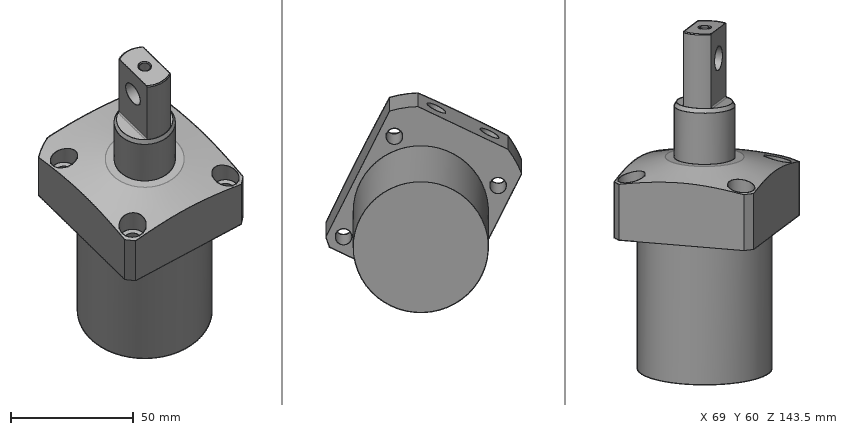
import cadquery as cq
import math

total_height = 143.5
flange_base = 59.0
flange_top = 89.0
shoulder_height = 112.2

barrel_diameter = 55.1
flange_half_width = 30.0
port_face_reach = 39.0
round_corner_radius = 44.0
plain_corner_chamfer = 3.2
crown_flat_radius = 16.1
crown_angle = 15.0

screw_offset = 23.5
screw_hole_diameter = 6.7
screw_head_diameter = 11.0
screw_seat_height = 76.0

port_diameter = 8.5
port_offset = 12.0
port_height = 71.0
port_depth = 6.0

rod_diameter = 25.0
rod_chamfer_height = 1.7
rod_chamfer_width = 1.0
tongue_diameter = 22.8
tongue_thickness = 11.9
tongue_root_fillet = 0.6
tongue_tip_chamfer = 0.5
pin_hole_diameter = 10.0
pin_hole_height = 130.9
tip_hole_diameter = 4.6
tip_hole_chamfer = 0.5


def make_flange():
    """Flange block with arc corners at -X, chamfered corners at +X and a conical top."""
    height = flange_top - flange_base
    length = port_face_reach + flange_half_width
    center_x = (flange_half_width - port_face_reach) / 2
    block = (
        cq.Workplane("XY", origin=(center_x, 0, flange_base))
        .rect(length, 2 * flange_half_width)
        .extrude(height)
        .edges("|Z and >X")
        .chamfer(plain_corner_chamfer)
    )
    crown_drop = (round_corner_radius - crown_flat_radius) * math.tan(math.radians(crown_angle))
    crown = (
        cq.Workplane("XZ")
        .moveTo(0, flange_base)
        .lineTo(round_corner_radius, flange_base)
        .lineTo(round_corner_radius, flange_top - crown_drop)
        .lineTo(crown_flat_radius, flange_top)
        .lineTo(0, flange_top)
        .close()
        .revolve(360, (0, 0, 0), (0, 1, 0))
    )
    return block.intersect(crown)


def screw_holes():
    """Four counterbored holes through the flange."""
    spacing = 2 * screw_offset
    holes = (
        cq.Workplane("XY", origin=(0, 0, flange_base))
        .rarray(spacing, spacing, 2, 2)
        .circle(screw_hole_diameter / 2)
        .extrude(flange_top - flange_base)
    )
    seats = (
        cq.Workplane("XY", origin=(0, 0, screw_seat_height))
        .rarray(spacing, spacing, 2, 2)
        .circle(screw_head_diameter / 2)
        .extrude(flange_top - screw_seat_height)
    )
    return holes.union(seats)


def port_holes():
    """Two blind ports entering from the -X face."""
    return (
        cq.Workplane("YZ", origin=(-port_face_reach, 0, port_height))
        .pushPoints([(-port_offset, 0), (port_offset, 0)])
        .circle(port_diameter / 2)
        .extrude(port_depth)
    )


def make_housing():
    barrel = cq.Workplane("XY").circle(barrel_diameter / 2).extrude(flange_base)
    return barrel.union(make_flange()).cut(screw_holes()).cut(port_holes())


def make_tongue():
    """Round bar cut to two flats, standing on the rod shoulder."""
    height = total_height - shoulder_height
    base = cq.Workplane("XY", origin=(0, 0, shoulder_height))
    bar = base.circle(tongue_diameter / 2).extrude(height)
    bar = bar.faces(">Z").chamfer(tongue_tip_chamfer)
    flats = base.rect(tongue_diameter, tongue_thickness).extrude(height)
    return bar.intersect(flats)


def make_rod():
    """Piston rod standing on the flat crown of the housing."""
    shank = (
        cq.Workplane("XY", origin=(0, 0, flange_top))
        .circle(rod_diameter / 2)
        .extrude(shoulder_height - flange_top)
        .faces(">Z")
        .edges()
        .chamfer(rod_chamfer_height, rod_chamfer_width)
    )
    root_edges = cq.selectors.BoxSelector(
        (-rod_diameter, -tongue_thickness, shoulder_height - tongue_root_fillet),
        (rod_diameter, tongue_thickness, shoulder_height + tongue_root_fillet),
    )
    rod = shank.union(make_tongue())
    rod = rod.edges("|X").edges(root_edges).fillet(tongue_root_fillet)
    pin_hole = (
        cq.Workplane("XZ", origin=(0, 0, pin_hole_height))
        .circle(pin_hole_diameter / 2)
        .extrude(tongue_thickness, both=True)
    )
    tip_hole = (
        cq.Workplane("XY", origin=(0, 0, pin_hole_height))
        .circle(tip_hole_diameter / 2)
        .extrude(total_height - pin_hole_height)
    )
    tip_rim = (
        cq.Workplane("XY", origin=(0, 0, total_height))
        .circle(tip_hole_diameter / 2 + tip_hole_chamfer)
        .extrude(-tip_hole_chamfer, taper=45)
    )
    return rod.cut(pin_hole).cut(tip_hole).cut(tip_rim)


housing = make_housing()
rod = make_rod()
result = cq.Compound.makeCompound([housing.val(), rod.val()])